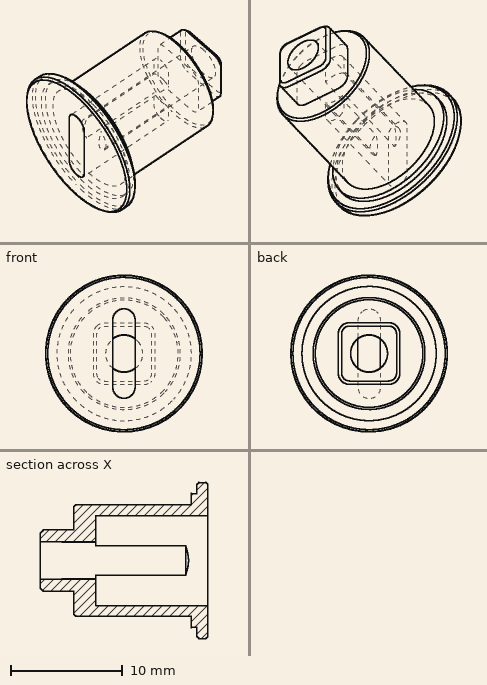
import cadquery as cq
import math

total_length = 15.0
flange_thickness = 1.0
collar_thickness = 0.5
body_end = 12.0

flange_diameter = 14.0
collar_diameter = 12.0
body_diameter = 10.0
edge_chamfer = 0.2

drive_width = 5.5
drive_corner_radius = 1.0
drive_chamfer = 0.3

slot_width = 2.0
slot_length = 8.0
slot_depth = 10.0
bore_diameter = 3.3
bore_tip = 1.32
bore_point_angle = 135.0


def plane_at(y):
    """Sketch plane at distance y along the axis, with its normal along +Y."""
    return cq.Workplane("XZ", origin=(0, y, 0)).transformed(rotate=(180, 0, 0))


def disc(start, end, diameter):
    return plane_at(start).circle(diameter / 2).extrude(end - start)


collar_end = flange_thickness + collar_thickness
flange = disc(0, flange_thickness, flange_diameter).edges().chamfer(edge_chamfer)
collar = disc(flange_thickness, collar_end, collar_diameter)
body = disc(collar_end, body_end, body_diameter).faces(">Y").edges().chamfer(edge_chamfer)

drive = (
    plane_at(body_end)
    .rect(drive_width, drive_width)
    .extrude(total_length - body_end)
    .edges("|Y")
    .fillet(drive_corner_radius)
    .faces(">Y")
    .edges()
    .chamfer(drive_chamfer)
)

slot = plane_at(0).slot2D(slot_length, slot_width, 90).extrude(slot_depth)
bore_radius = bore_diameter / 2
point_length = bore_radius / math.tan(math.radians(bore_point_angle / 2))
bore = (
    cq.Workplane("XY")
    .moveTo(0, bore_tip)
    .lineTo(bore_radius, bore_tip + point_length)
    .lineTo(bore_radius, total_length)
    .lineTo(0, total_length)
    .close()
    .revolve(360, (0, 0, 0), (0, 1, 0))
)

result = flange.union(collar).union(body).union(drive).cut(slot).cut(bore)